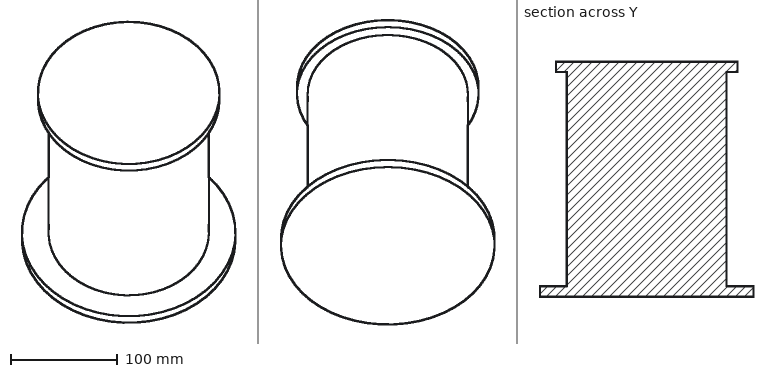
import cadquery as cq

total_height = 220.0
base_diameter = 200.0
body_diameter = 150.0
cap_diameter = 170.0

disc_thickness = 10.0
body_height = total_height - 2 * disc_thickness

result = (
    cq.Workplane("XY")
    .circle(base_diameter / 2)
    .extrude(disc_thickness)
    .faces(">Z")
    .workplane()
    .circle(body_diameter / 2)
    .extrude(body_height)
    .faces(">Z")
    .workplane()
    .circle(cap_diameter / 2)
    .extrude(disc_thickness)
)